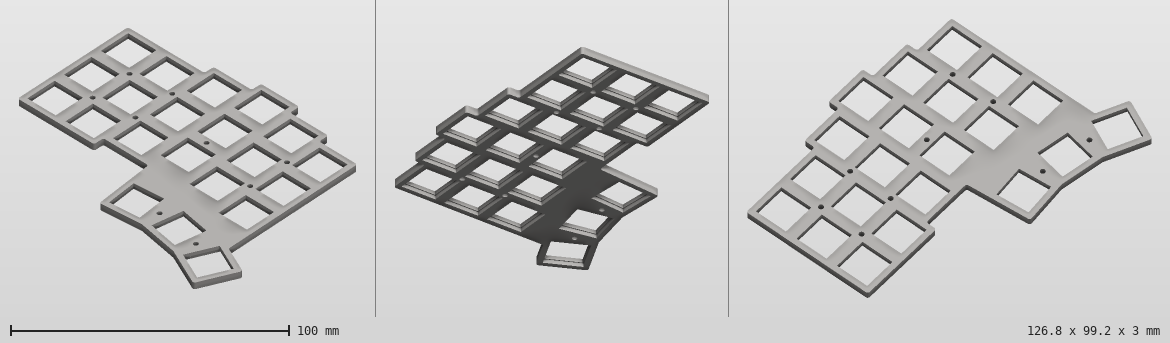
import cadquery as cq
import math

THICKNESS = 3.0
PITCH = 19.0
ROWS = 3
STAGGER = PITCH / 4
COLUMN_STEPS = [0, 0, 1, 2, 1, 0]
FIELD_HEIGHT = ROWS * PITCH
FIELD_WIDTH = len(COLUMN_STEPS) * PITCH
SIDE_FLARE = 0.4
CORNER_RADIUS = 1.0

OPENING = 14.1
RELIEF = 15.0
LIP_THICKNESS = 1.5

INNER_THUMB = (71.5, -12.8, 5)
MIDDLE_THUMB = (93.4, -13.7, -10)
OUTER_THUMB = (114.5, -20.4, -25)

HOLE_DIAMETER = 2.2
THUMB_HOLES = [(82.5, -12.4), (104.0, -16.1)]


def cell_point(key, across, up):
    """Point of a thumb key cell; across and up run from -1 to 1 over the cell."""
    x, y, tilt = key
    angle = math.radians(tilt)
    dx = across * PITCH / 2
    dy = up * PITCH / 2
    return (
        x + dx * math.cos(angle) - dy * math.sin(angle),
        y + dx * math.sin(angle) + dy * math.cos(angle),
    )


def lower_edges_meet(left_key, right_key):
    """Point where the lower cell edges of two neighbouring thumb keys cross."""
    left_x, left_y = cell_point(left_key, 0, -1)
    right_x, right_y = cell_point(right_key, 0, -1)
    left_slope = math.tan(math.radians(left_key[2]))
    right_slope = math.tan(math.radians(right_key[2]))
    x = (right_y - left_y + left_slope * left_x - right_slope * right_x) / (left_slope - right_slope)
    return (x, left_y + left_slope * (x - left_x))


def top_edge_points():
    """Stepped top edge of the key field, left to right."""
    points = []
    for column, step in enumerate(COLUMN_STEPS):
        height = FIELD_HEIGHT + step * STAGGER
        if points and points[-1][1] == height:
            points.pop()
        else:
            points.append((column * PITCH, height))
        points.append(((column + 1) * PITCH, height))
    return points


def side_foot():
    """Point where the right side of the field lands on the upper edge of the outer thumb cell."""
    x = FIELD_WIDTH + SIDE_FLARE
    start_x, start_y = cell_point(OUTER_THUMB, -1, 1)
    slope = math.tan(math.radians(OUTER_THUMB[2]))
    return (x, start_y + slope * (x - start_x))


def inner_thumb_start():
    """Point where the left edge of the inner thumb cell, run upwards, meets the third column."""
    corner_x, corner_y = cell_point(INNER_THUMB, -1, 1)
    lean = math.tan(math.radians(INNER_THUMB[2]))
    return (corner_x - (STAGGER - corner_y) * lean, STAGGER)


thumb_bends = [
    lower_edges_meet(MIDDLE_THUMB, OUTER_THUMB),
    lower_edges_meet(INNER_THUMB, MIDDLE_THUMB),
]
outline = [
    *top_edge_points(),
    side_foot(),
    cell_point(OUTER_THUMB, 1, 1),
    cell_point(OUTER_THUMB, 1, -1),
    *thumb_bends,
    cell_point(INNER_THUMB, -1, -1),
    inner_thumb_start(),
    (2 * PITCH, STAGGER),
    (2 * PITCH, 0),
    (0, 0),
]


def is_rounded(edge):
    """True for every upright edge except the two shallow bends below the thumb keys."""
    centre = edge.Center()
    return all(math.dist((centre.x, centre.y), bend) > CORNER_RADIUS for bend in thumb_bends)


plate = cq.Workplane("XY").polyline(outline).close().extrude(THICKNESS)
plate = plate.edges("|Z").filter(is_rounded).fillet(CORNER_RADIUS)


def switch_cutter(x, y, tilt):
    """Square through opening with a wider pocket below the lip that holds the switch clips."""
    opening = cq.Workplane("XY").rect(OPENING, OPENING).extrude(THICKNESS)
    relief = cq.Workplane("XY").rect(RELIEF, RELIEF).extrude(THICKNESS - LIP_THICKNESS)
    cutter = opening.union(relief)
    return cutter.rotate((0, 0, 0), (0, 0, 1), tilt).translate((x, y, 0))


switches = [INNER_THUMB, MIDDLE_THUMB, OUTER_THUMB]
for column, step in enumerate(COLUMN_STEPS):
    for row in range(ROWS):
        switches.append(((column + 0.5) * PITCH, (row + 0.5) * PITCH + step * STAGGER, 0))

for switch in switches:
    plate = plate.cut(switch_cutter(*switch))

holes = list(THUMB_HOLES)
for row in range(1, ROWS):
    holes.append((PITCH, row * PITCH))
    holes.append((2 * PITCH, row * PITCH + STAGGER / 2))
    holes.append((5 * PITCH, row * PITCH + STAGGER / 2))
holes.append((3.5 * PITCH, PITCH + 2 * STAGGER))

hole_cutters = cq.Workplane("XY").pushPoints(holes).circle(HOLE_DIAMETER / 2).extrude(THICKNESS)
result = plate.cut(hole_cutters)